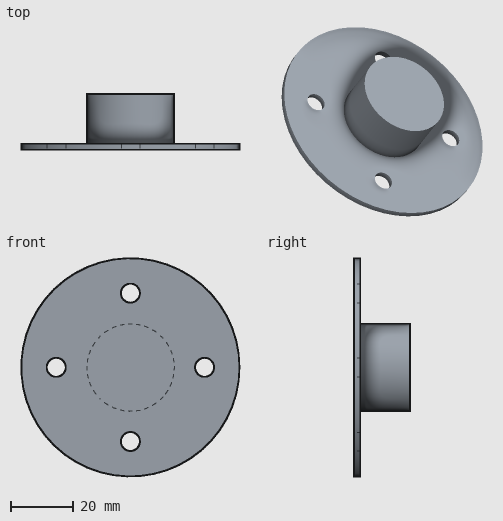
import cadquery as cq

flange_diameter = 70.0
flange_thickness = 2.0
overall_depth = 18.0
boss_diameter = 28.0
hole_diameter = 6.0
hole_circle_diameter = 47.5
hole_count = 4


def cylinder_along_y(diameter, length):
    """Solid cylinder on the Y axis, starting at Y = 0 and running toward +Y."""
    return cq.Workplane("XZ").circle(diameter / 2).extrude(-length)


flange = cylinder_along_y(flange_diameter, flange_thickness)
boss = cylinder_along_y(boss_diameter, overall_depth)

mounting_holes = (
    cq.Workplane("XZ")
    .polarArray(hole_circle_diameter / 2, 0, 360, hole_count)
    .circle(hole_diameter / 2)
    .extrude(-flange_thickness)
)

result = flange.union(boss).cut(mounting_holes)